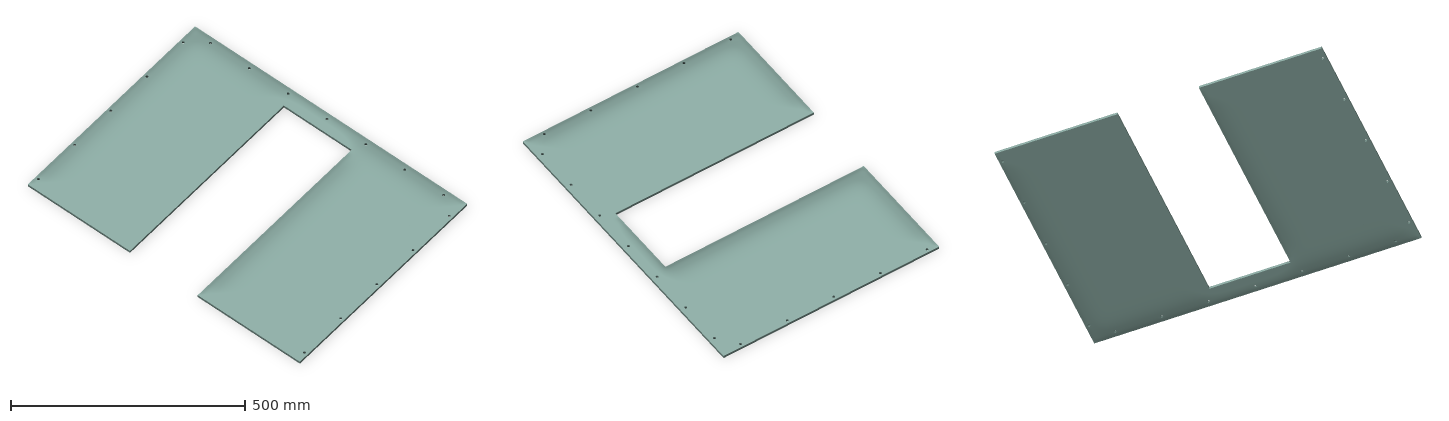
import cadquery as cq

width = 755.5
depth = 559.0
thickness = 6.35

cutout_width = 188.0
back_strip = 44.5
cutout_depth = depth - back_strip

hole_diameter = 6.0
back_hole_count = 7
back_hole_pitch = width / back_hole_count
back_hole_inset = 13.5
side_hole_count = 5
side_hole_pitch = 121.0
side_hole_inset = 8.0
first_side_hole = 26.0


def back_hole_points():
    """Row along the back edge, centred on the width."""
    y = depth / 2 - back_hole_inset
    middle = (back_hole_count - 1) / 2
    return [((i - middle) * back_hole_pitch, y) for i in range(back_hole_count)]


def side_hole_points(side):
    """Row along one side edge; side is -1 for left and 1 for right."""
    x = side * (width / 2 - side_hole_inset)
    first_y = -depth / 2 + first_side_hole
    return [(x, first_y + i * side_hole_pitch) for i in range(side_hole_count)]


panel = cq.Workplane("XY").rect(width, depth).extrude(thickness)

cutout = (
    cq.Workplane("XY")
    .center(0, (cutout_depth - depth) / 2)
    .rect(cutout_width, cutout_depth)
    .extrude(thickness)
)

holes = (
    cq.Workplane("XY")
    .pushPoints(back_hole_points() + side_hole_points(-1) + side_hole_points(1))
    .circle(hole_diameter / 2)
    .extrude(thickness)
)

result = panel.cut(cutout).cut(holes)